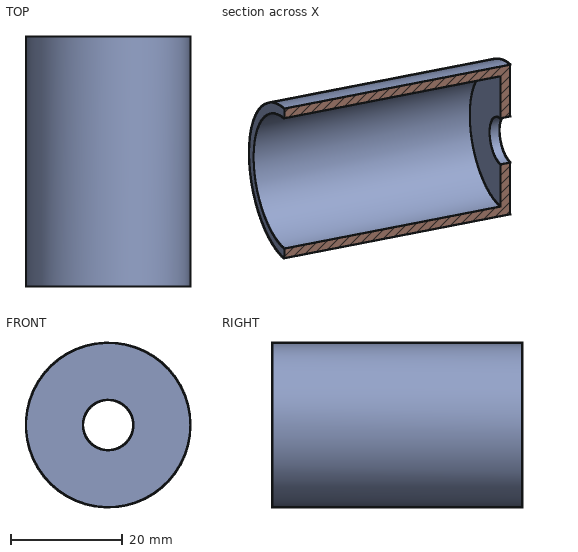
import cadquery as cq

length = 45.0
outer_diameter = 29.6
cavity_diameter = 25.6
hole_diameter = 9.0
side_wall = (outer_diameter - cavity_diameter) / 2
end_wall = side_wall


def cylinder_along_y(diameter, start, end):
    """Solid cylinder centred on the Y axis, from y = start to y = end."""
    base = cq.Workplane("XZ", origin=(0, start, 0))
    return base.circle(diameter / 2).extrude(start - end)


front = -length / 2
back = length / 2

body = cylinder_along_y(outer_diameter, front, back)
cavity = cylinder_along_y(cavity_diameter, front + end_wall, back)
end_hole = cylinder_along_y(hole_diameter, front, front + end_wall)

result = body.cut(cavity).cut(end_hole)